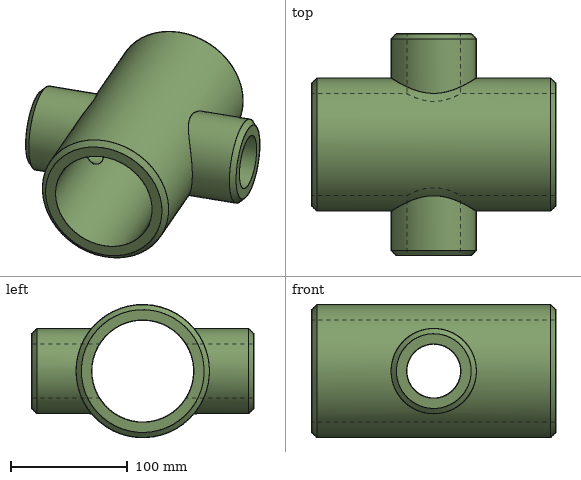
import cadquery as cq

WALL = 13.5

RUN_LENGTH = 209.3
RUN_OUTER_DIAMETER = 114.3
RUN_BORE_DIAMETER = RUN_OUTER_DIAMETER - 2 * WALL

BRANCH_SPAN = 190.5
BRANCH_OUTER_DIAMETER = 73.15
BRANCH_BORE_DIAMETER = BRANCH_OUTER_DIAMETER - 2 * WALL

END_BEVEL = WALL / 3


def centred_cylinder(plane, diameter, length):
    """Cylinder centred on the origin, with its axis normal to the plane."""
    return cq.Workplane(plane).circle(diameter / 2).extrude(length / 2, both=True)


def bevelled_bar(plane, diameter, length):
    """Centred cylinder with both end edges bevelled."""
    bar = centred_cylinder(plane, diameter, length)
    return bar.edges("%CIRCLE").chamfer(END_BEVEL)


run_bar = bevelled_bar("YZ", RUN_OUTER_DIAMETER, RUN_LENGTH)
branch_bar = bevelled_bar("XZ", BRANCH_OUTER_DIAMETER, BRANCH_SPAN)
cross_body = run_bar.union(branch_bar)

run_bore = centred_cylinder("YZ", RUN_BORE_DIAMETER, RUN_LENGTH)
branch_bore = centred_cylinder("XZ", BRANCH_BORE_DIAMETER, BRANCH_SPAN)

result = cross_body.cut(run_bore).cut(branch_bore)